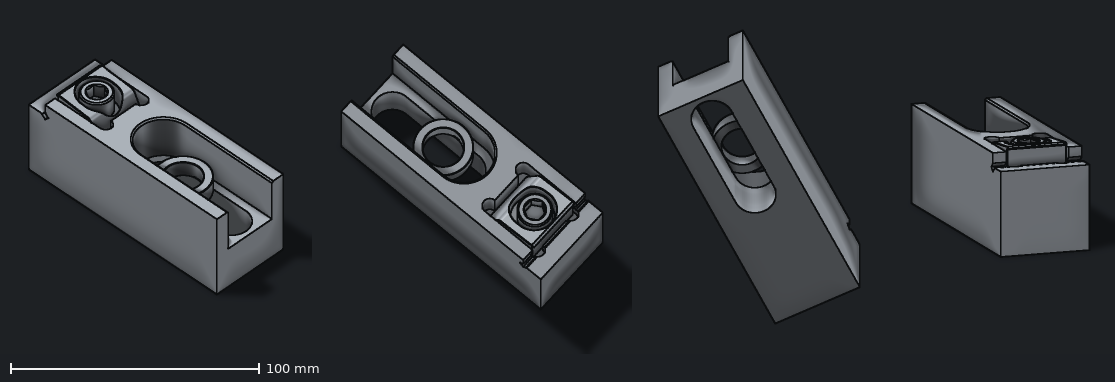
import cadquery as cq
import math

BLOCK_LENGTH = 106.7
BLOCK_WIDTH = 38.1
BLOCK_HEIGHT = 41.1
STEP_LENGTH = 9.4
STEP_HEIGHT = 35.3

GROOVE_HALF_DIAGONAL = 1.8
GROOVE_Z = 35.0

POCKET_END_X = 34.9
POCKET_WIDTH = 26.7
POCKET_FLOOR_Z = 28.4
RELIEF_RADIUS = 3.1

CHANNEL_START_X = 57.6
CHANNEL_RADIUS = 12.5
CHANNEL_FLOOR_Z = 20.8
CHANNEL_CHAMFER = 0.7
CHANNEL_CHAMFER_ANGLE = 45.0
SLOT_START_X = 57.2
SLOT_END_X = 95.8
SLOT_RADIUS = 8.5

RING_X = 68.7
RING_OUTER_RADIUS = 12.2
RING_INNER_RADIUS = 8.3
RING_THICKNESS = 7.1
RING_CHAMFER = 0.2

JAW_TOP_Z = 43.0
JAW_WIDTH = 25.3
JAW_FACE_X = 10.2
JAW_FACE_TOP_Z = 41.7
NOSE_TIP_X = 9.4
NOSE_BOTTOM_Z = 42.1
NOSE_EDGE_Z = 42.5
NOSE_TOP_X = 10.6
JAW_TOP_SLOPE = math.radians(5.6)
JAW_BACK_SLOPE = math.radians(63)
JAW_BACK_FILLET = 2.8
JAW_EDGE_CHAMFER = 0.2

SCREW_X = 19.7
SCREW_TOP_Z = 42.6
HEAD_RADIUS = 7.1
HEAD_HEIGHT = 9.3
HEAD_CHAMFER = 0.6
SHANK_RADIUS = 4.8
SHANK_LENGTH = 23.5
HEX_ACROSS_FLATS = 8.0
HEX_DEPTH = 6.4
HEAD_SEAT_Z = SCREW_TOP_Z - HEAD_HEIGHT

RECESS_X = 20.9
RECESS_RADIUS = 8.0
RECESS_HALF_SPACING = 1.1
RECESS_FLARE = 4.2
RECESS_BASE_Z = 30.7
SEAT_CURVE_RADIUS = 33.1
SEAT_CURVE_X = 18.2
RIM_SIDE_MARGIN = 1.1
RIM_SEAT_MARGIN = 0.5


def box(x_start, x_end, width, z_start, z_end):
    """Box centred on the XZ plane."""
    return cq.Workplane("XY").box(
        x_end - x_start, width, z_end - z_start, centered=(False, True, False)
    ).translate((x_start, 0, z_start))


def cylinder(x, y, radius, z_start, z_end):
    """Upright cylinder."""
    return cq.Workplane("XY", origin=(x, y, z_start)).circle(radius).extrude(z_end - z_start)


def slot(x_start, x_end, radius, z_start, z_end, flare=0):
    """Upright slot along X, given by its two end centres; it widens upward by the flare angle in degrees."""
    return (
        cq.Workplane("XY", origin=((x_start + x_end) / 2, 0, z_start))
        .slot2D(x_end - x_start + 2 * radius, 2 * radius)
        .extrude(z_end - z_start, taper=-flare)
    )


def extrude_profile(points, width):
    """Straight-sided XZ outline extruded along Y, centred on the XZ plane."""
    return cq.Workplane("XZ").polyline(points).close().extrude(width / 2, both=True)


def make_pocket():
    pocket = box(STEP_LENGTH, POCKET_END_X, POCKET_WIDTH, POCKET_FLOOR_Z, BLOCK_HEIGHT)
    relief_y = POCKET_WIDTH / 2 - RELIEF_RADIUS
    for x in (STEP_LENGTH, POCKET_END_X):
        for y in (-relief_y, relief_y):
            pocket = pocket.union(cylinder(x, y, RELIEF_RADIUS, POCKET_FLOOR_Z, BLOCK_HEIGHT))
    return pocket


def make_channel():
    """Channel with a round inner end, chamfered at its rim and running out through the end of the block."""
    outer_end_x = BLOCK_LENGTH + CHANNEL_RADIUS
    channel = slot(CHANNEL_START_X, outer_end_x, CHANNEL_RADIUS, CHANNEL_FLOOR_Z, BLOCK_HEIGHT)
    rim = slot(CHANNEL_START_X, outer_end_x, CHANNEL_RADIUS,
               BLOCK_HEIGHT - CHANNEL_CHAMFER, BLOCK_HEIGHT, flare=CHANNEL_CHAMFER_ANGLE)
    return channel.union(rim)


def make_block():
    block = extrude_profile(
        [
            (0, 0),
            (BLOCK_LENGTH, 0),
            (BLOCK_LENGTH, BLOCK_HEIGHT),
            (STEP_LENGTH, BLOCK_HEIGHT),
            (STEP_LENGTH, STEP_HEIGHT),
            (0, STEP_HEIGHT),
        ],
        BLOCK_WIDTH,
    )
    groove = extrude_profile(
        [
            (STEP_LENGTH - GROOVE_HALF_DIAGONAL, GROOVE_Z),
            (STEP_LENGTH, GROOVE_Z - GROOVE_HALF_DIAGONAL),
            (STEP_LENGTH + GROOVE_HALF_DIAGONAL, GROOVE_Z),
            (STEP_LENGTH, GROOVE_Z + GROOVE_HALF_DIAGONAL),
        ],
        BLOCK_WIDTH,
    )
    block = block.cut(groove).cut(make_pocket()).cut(make_channel())
    block = block.cut(slot(SLOT_START_X, SLOT_END_X, SLOT_RADIUS, 0, CHANNEL_FLOOR_Z))
    return block.cut(cylinder(SCREW_X, 0, SHANK_RADIUS, HEAD_SEAT_Z - SHANK_LENGTH, POCKET_FLOOR_Z))


def make_head_recess():
    flared_slot = slot(RECESS_X - RECESS_HALF_SPACING, RECESS_X + RECESS_HALF_SPACING, RECESS_RADIUS,
                       RECESS_BASE_Z, JAW_TOP_Z, flare=RECESS_FLARE)
    seat = (
        cq.Workplane("XZ", origin=(SEAT_CURVE_X, 0, HEAD_SEAT_Z - SEAT_CURVE_RADIUS))
        .circle(SEAT_CURVE_RADIUS)
        .extrude(JAW_WIDTH / 2, both=True)
    )
    return flared_slot.cut(seat)


def make_jaw():
    top_fall = math.tan(JAW_TOP_SLOPE)
    back_fall = math.tan(JAW_BACK_SLOPE)
    corner_x = (
        POCKET_FLOOR_Z + back_fall * POCKET_END_X - JAW_TOP_Z - top_fall * NOSE_TOP_X
    ) / (back_fall - top_fall)
    corner_z = JAW_TOP_Z - top_fall * (corner_x - NOSE_TOP_X)
    jaw = extrude_profile(
        [
            (JAW_FACE_X, POCKET_FLOOR_Z),
            (JAW_FACE_X, JAW_FACE_TOP_Z),
            (NOSE_TIP_X, NOSE_BOTTOM_Z),
            (NOSE_TIP_X, NOSE_EDGE_Z),
            (NOSE_TOP_X, JAW_TOP_Z),
            (corner_x, corner_z),
            (POCKET_END_X, POCKET_FLOOR_Z),
        ],
        JAW_WIDTH,
    )
    jaw = jaw.edges(cq.selectors.NearestToPointSelector((corner_x, 0, corner_z))).fillet(JAW_BACK_FILLET)
    jaw = jaw.faces("<Y or >Y").chamfer(JAW_EDGE_CHAMFER)
    jaw = jaw.cut(make_head_recess())
    rim_half_width = JAW_WIDTH / 2 - RIM_SIDE_MARGIN
    rim_region = cq.selectors.BoxSelector(
        (NOSE_TOP_X, -rim_half_width, HEAD_SEAT_Z + RIM_SEAT_MARGIN),
        (POCKET_END_X, rim_half_width, JAW_TOP_Z),
        boundingbox=True,
    )
    jaw = jaw.edges(rim_region).chamfer(JAW_EDGE_CHAMFER)
    return jaw.cut(cylinder(SCREW_X, 0, SHANK_RADIUS, POCKET_FLOOR_Z, JAW_TOP_Z))


def make_screw():
    head = cylinder(SCREW_X, 0, HEAD_RADIUS, HEAD_SEAT_Z, SCREW_TOP_Z).faces(">Z").chamfer(HEAD_CHAMFER)
    corner_diameter = HEX_ACROSS_FLATS / math.cos(math.radians(30))
    socket = (
        cq.Workplane("XY", origin=(SCREW_X, 0, SCREW_TOP_Z))
        .transformed(rotate=(0, 0, 90))
        .polygon(6, corner_diameter)
        .extrude(-HEX_DEPTH)
    )
    mouth = cq.Workplane("XY").add(
        cq.Solid.makeCone(0, corner_diameter / 2, corner_diameter / 2,
                          pnt=cq.Vector(SCREW_X, 0, SCREW_TOP_Z - corner_diameter / 2))
    )
    shank = cylinder(SCREW_X, 0, SHANK_RADIUS, HEAD_SEAT_Z - SHANK_LENGTH, HEAD_SEAT_Z)
    return head.union(shank).cut(socket).cut(mouth)


def make_ring():
    ring_top_z = CHANNEL_FLOOR_Z + RING_THICKNESS
    ring = cylinder(RING_X, 0, RING_OUTER_RADIUS, CHANNEL_FLOOR_Z, ring_top_z)
    ring = ring.cut(cylinder(RING_X, 0, RING_INNER_RADIUS, CHANNEL_FLOOR_Z, ring_top_z))
    return ring.faces(">Z").chamfer(RING_CHAMFER)


block = make_block()
jaw = make_jaw()
screw = make_screw()
ring = make_ring()

bodies = [block, jaw, screw, ring]
result = cq.Compound.makeCompound([body.solids().val() for body in bodies])